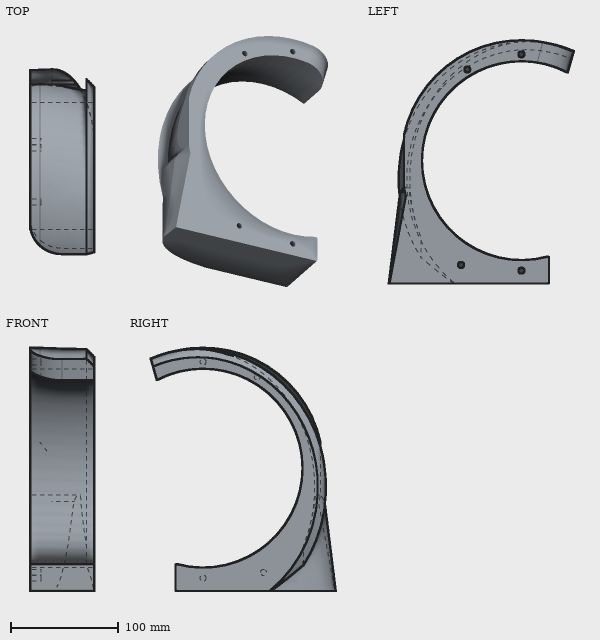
import cadquery as cq
import math

width = 60.0
bore_radius = 92.5
base_z = -114.4
base_front_y = -25.8
overshoot = 5.0
edge_margin = 1.0

band_width = 9.4
hoop_radius_y = 112.0
hoop_radius_z = 112.2
lip_x = 52.4
lip_center_y = -5.0
lip_radius_y = 119.5
sunk_center_y = -7.7
sunk_radius_y = 111.7
oval_center_z = -17.6
oval_radius_z = 128.5
lip_bevel = width - lip_x

flat_y = 109.4

swell_x = 20.5
foot_top_z = -25.0
foot_waist_y = 107.6
foot_waist_z = -33.0
side_rear_y = 122.8
full_shoulder_y = 113.2
full_shoulder_z = -31.0
rear_y = 123.6
foot_corner_width = width - swell_x
foot_corner_depth = 73.0
toe_top_radius = 1.5
toe_bottom_radius = 1.0

tip_y = -48.81
tip_z = 101.9
tip_tilt = math.radians(15.9)
tip_corner_radius = 30.0

hole_diameter = 5.6
hole_depth = 10.0
hole_centers = [(0, 99.0), (50.4, 84.9), (56.2, -97.1), (0, -102.4)]


def side_plane(x):
    """Sketch plane at a given X; local axes are Y and Z."""
    return cq.Workplane("YZ", origin=(x, 0, 0))


def make_hoop():
    """Solid hoop body, still without its bore, trimmed at the base, toe and back."""
    band = side_plane(0).ellipse(hoop_radius_y, hoop_radius_z).extrude(band_width)
    sunk = (
        side_plane(band_width)
        .ellipse(hoop_radius_y, hoop_radius_z)
        .workplane(offset=lip_x - band_width)
        .center(sunk_center_y, oval_center_z)
        .ellipse(sunk_radius_y, oval_radius_z)
        .loft(ruled=True)
    )
    lip = (
        side_plane(lip_x)
        .center(lip_center_y, oval_center_z)
        .ellipse(lip_radius_y, oval_radius_z)
        .workplane(offset=lip_bevel)
        .ellipse(lip_radius_y - lip_bevel, oval_radius_z - lip_bevel)
        .loft(ruled=True)
    )
    hoop = band.union(sunk).union(lip)

    far = 2 * oval_radius_z
    below_base = cq.Workplane("XY").box(width, 2 * far, far, centered=(False, True, False))
    hoop = hoop.cut(below_base.translate((0, 0, base_z - far)))
    front_gap = cq.Workplane("XY").box(width, far, far, centered=False)
    hoop = hoop.cut(front_gap.translate((0, base_front_y - far, -far)))

    behind_flat = cq.Workplane("XY").box(lip_x, far, 2 * far, centered=(False, False, True))
    return hoop.cut(behind_flat.translate((0, flat_y, 0)))


def foot_outline(plane, rear_bottom_y, shoulder_y, shoulder_z):
    """Side outline of the foot; the bore later removes its inner part."""
    return plane.polyline([
        (base_front_y, base_z),
        (rear_bottom_y, base_z),
        (shoulder_y, shoulder_z),
        (flat_y, foot_top_z),
        (base_front_y, foot_top_z),
    ]).close()


def make_foot():
    """Rear face swells from the X = 0 face; the far rear corner is elliptical in plan."""
    start = foot_outline(side_plane(0), side_rear_y, foot_waist_y, foot_waist_z)
    swell = foot_outline(
        start.workplane(offset=swell_x), rear_y, full_shoulder_y, full_shoulder_z
    ).loft(ruled=True)
    full = foot_outline(side_plane(swell_x), rear_y, full_shoulder_y, full_shoulder_z)
    foot = swell.union(full.extrude(width - swell_x))

    corner = (
        cq.Workplane("XY", origin=(swell_x, rear_y - foot_corner_depth, base_z))
        .moveTo(foot_corner_width, 0)
        .ellipseArc(foot_corner_width, foot_corner_depth, 0, 90)
        .lineTo(foot_corner_width, foot_corner_depth)
        .close()
        .extrude(foot_top_z - base_z)
    )
    return foot.cut(corner)


def trim_tip(body):
    """Cut the tilted end face and round its corner at X = 0."""
    end_plane = cq.Plane(
        origin=(0, tip_y, tip_z),
        xDir=(1, 0, 0),
        normal=(0, -math.sin(tip_tilt), math.cos(tip_tilt)),
    )
    end_block = (
        cq.Workplane(end_plane)
        .rect(width, -hoop_radius_y, centered=False)
        .extrude(tip_z + overshoot, both=True)
    )
    corner_reach = 2 * (hoop_radius_z - bore_radius)
    r = tip_corner_radius
    arc_offset = r * (1 - math.sqrt(0.5))
    corner = (
        cq.Workplane(end_plane)
        .moveTo(r, 0)
        .threePointArc((arc_offset, arc_offset), (0, r))
        .lineTo(0, 0)
        .close()
        .extrude(corner_reach, both=True)
    )
    return body.cut(end_block).cut(corner)


def drill_holes(body):
    holes = side_plane(0).pushPoints(hole_centers).circle(hole_diameter / 2).extrude(hole_depth)
    return body.cut(holes)


def round_toe(body):
    toe_top_z = -math.sqrt(bore_radius**2 - base_front_y**2)
    for z, radius in ((toe_top_z, toe_top_radius), (base_z, toe_bottom_radius)):
        around_edge = cq.selectors.BoxSelector(
            (-overshoot, base_front_y - edge_margin, z - edge_margin),
            (width + overshoot, base_front_y + edge_margin, z + edge_margin),
        )
        body = body.edges("|X").edges(around_edge).fillet(radius)
    return body


bore = side_plane(-overshoot).circle(bore_radius).extrude(width + 2 * overshoot)
body = make_hoop().union(make_foot()).cut(bore)
body = trim_tip(body)
body = round_toe(body)
result = drill_holes(body)